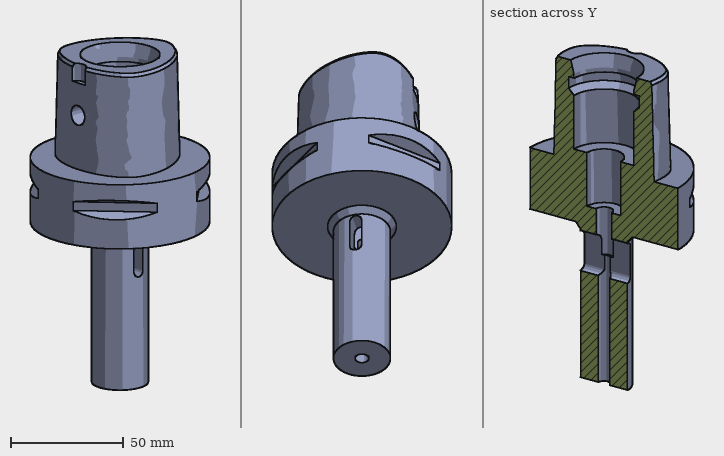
import cadquery as cq
import math

total_height = 153.0
flange_bottom = 75.0
flange_top = 105.0
collar_bottom = 72.0

shank_radius = 12.7
collar_radius = 15.3
flange_radius = 80.0 / 2

base_mean_radius = 55.5 / 2
lobe_height = 2.0
taper_per_side = 1 / 40
rim_chamfer_height = 1.5
rim_chamfer_inset = 0.9
outline_points = 72

notch_radius = 4.7
notch_center_y = -26.5
notch_depth = 8.1
cross_hole_diameter = 9.0
cross_hole_z = 129.9
cross_hole_floor_y = -16.8

mouth_radius = 17.7
bore_radius = 16.0
groove_radius = 19.0
mouth_taper_depth = 6.5
lip_depth = 8.5
groove_bottom_depth = 16.8
bore_floor_z = 110.2
middle_hole_radius = 9.0
middle_hole_floor_z = 84.2
pilot_radius = 4.1
pilot_floor_z = 61.2
through_radius = 3.0

gripper_count = 4
gripper_flat_distance = 35.3
gripper_flat_bottom = 91.0
gripper_flat_top = 95.2
gripper_flare = 2.5

slot_width = 5.4
slot_bottom = 52.0
slot_top = 71.3


def coupling_outline(mean_radius, z):
    """Closed three-lobed curve of constant width, with a lobe pointing to +Y."""
    def point(t):
        angle = 2 * math.pi * t - math.pi / 2
        lobe_angle = angle - math.pi / 2
        support = mean_radius + lobe_height * math.cos(3 * lobe_angle)
        slope = -3 * lobe_height * math.sin(3 * lobe_angle)
        return cq.Vector(
            support * math.cos(angle) - slope * math.sin(angle),
            support * math.sin(angle) + slope * math.cos(angle),
            z,
        )

    points = [point(i / outline_points) for i in range(outline_points)]
    return cq.Wire.assembleEdges([cq.Edge.makeSpline(points, periodic=True)])


def make_coupling():
    chamfer_z = total_height - rim_chamfer_height
    chamfer_mean_radius = base_mean_radius - taper_per_side * (chamfer_z - flange_top)
    base = coupling_outline(base_mean_radius, flange_top)
    shoulder = coupling_outline(chamfer_mean_radius, chamfer_z)
    rim = coupling_outline(chamfer_mean_radius - rim_chamfer_inset, total_height)
    cone = cq.Workplane(obj=cq.Solid.makeLoft([base, shoulder], True))
    return cone.union(cq.Workplane(obj=cq.Solid.makeLoft([shoulder, rim], True)))


def revolve_profile(points):
    """Revolve (radius, z) points about the Z axis."""
    return cq.Workplane("XZ").polyline(points).close().revolve(360, (0, 0), (0, 1))


def make_body():
    return revolve_profile([
        (0, 0),
        (shank_radius, 0),
        (shank_radius, collar_bottom),
        (collar_radius, flange_bottom),
        (flange_radius, flange_bottom),
        (flange_radius, flange_top),
        (0, flange_top),
    ])


def make_bore():
    groove_step = groove_radius - bore_radius
    lip_z = total_height - lip_depth
    groove_bottom_z = total_height - groove_bottom_depth
    return revolve_profile([
        (0, total_height),
        (mouth_radius, total_height),
        (bore_radius, total_height - mouth_taper_depth),
        (bore_radius, lip_z),
        (groove_radius, lip_z),
        (groove_radius, groove_bottom_z + groove_step),
        (bore_radius, groove_bottom_z),
        (bore_radius, bore_floor_z),
        (middle_hole_radius, bore_floor_z),
        (middle_hole_radius, middle_hole_floor_z),
        (pilot_radius, middle_hole_floor_z),
        (pilot_radius, pilot_floor_z),
        (through_radius, pilot_floor_z),
        (through_radius, 0),
        (0, 0),
    ])


def make_key_notch():
    return (
        cq.Workplane("XY", origin=(0, notch_center_y, total_height - notch_depth))
        .circle(notch_radius)
        .extrude(notch_depth)
    )


def make_cross_hole():
    """Blind, flat-floored hole in the -Y face, stopping just short of the bore."""
    return (
        cq.Workplane("XZ", origin=(0, cross_hole_floor_y, cross_hole_z))
        .circle(cross_hole_diameter / 2)
        .extrude(flange_radius)
    )


def make_gripper_notch():
    """Flat-bottomed V notch on the +X side of the flange."""
    return (
        cq.Workplane("XZ")
        .polyline([
            (gripper_flat_distance, gripper_flat_bottom),
            (flange_radius, gripper_flat_bottom - gripper_flare),
            (flange_radius, gripper_flat_top + gripper_flare),
            (gripper_flat_distance, gripper_flat_top),
        ])
        .close()
        .extrude(flange_radius, both=True)
    )


def make_shank_slot():
    return (
        cq.Workplane("YZ", origin=(0, 0, (slot_bottom + slot_top) / 2))
        .slot2D(slot_top - slot_bottom, slot_width, 90)
        .extrude(collar_radius, both=True)
    )


result = make_body().union(make_coupling())
result = result.cut(make_bore())
result = result.cut(make_key_notch())
result = result.cut(make_cross_hole())
result = result.cut(make_shank_slot())
for index in range(gripper_count):
    angle = (index + 0.5) * 360 / gripper_count
    result = result.cut(make_gripper_notch().rotate((0, 0, 0), (0, 0, 1), angle))